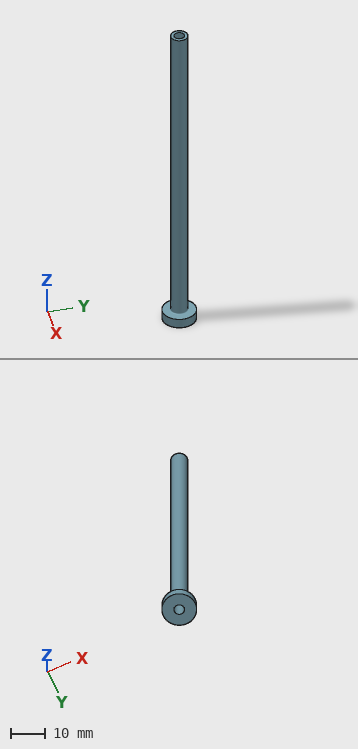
import cadquery as cq

total_length = 100.0
head_diameter = 10.0
head_thickness = 3.0
shank_diameter = 5.0
bore_diameter = 3.0
root_fillet_radius = 0.3

head = cq.Workplane("XY").circle(head_diameter / 2).extrude(head_thickness)

sleeve = head.faces(">Z").workplane().circle(shank_diameter / 2).extrude(total_length - head_thickness)

root_edge = cq.selectors.RadiusNthSelector(0)
sleeve = sleeve.faces("<Z[1]").edges(root_edge).fillet(root_fillet_radius)

bore = cq.Workplane("XY").circle(bore_diameter / 2).extrude(total_length)
result = sleeve.cut(bore)